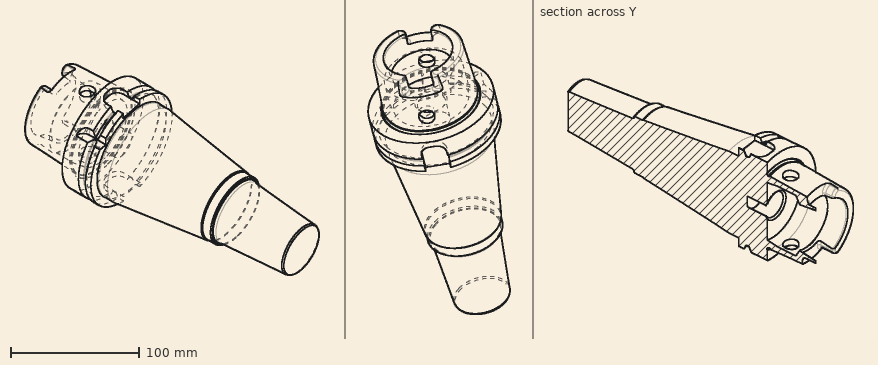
import cadquery as cq
import math


shank_end_x = -50.0
nose_end_x = 200.0

cut_clearance = 1.0

shank_end_radius = 35.7
shank_root_radius = 38.0
shank_edge_fillet = 1.9

relief_width = 2.5
relief_depth = 0.8
relief_floor_width = 0.9
relief_face_depth = 0.8
relief_face_radius = 39.7

flange_radius = 50.0
flange_width = 29.0
groove_center_x = 20.0
groove_width = 7.0
groove_floor_radius = 45.7
groove_flank_angle = 25.0
groove_floor_fillet = 0.8
groove_flank_run = (flange_radius - groove_floor_radius) * math.tan(math.radians(groove_flank_angle))

body_radius = 42.1
body_root_radius = 42.4
body_root_length = 1.0
body_cone_start_x = 39.0
body_cone_end_x = 124.2
body_cone_end_radius = 30.8
collar_radius = 30.1
collar_end_x = 134.0
collar_ramp_length = 1.0
collar_chamfer = 1.0
nose_root_radius = 28.0
nose_neck_end_x = 136.0
nose_neck_radius = 27.3
nose_end_radius = 22.5
nose_end_chamfer = 1.5
nose_end_chamfer_depth = 0.7

cavity_mouth_radius = 27.0
cavity_mouth_chamfer_length = 1.5
cavity_mouth_chamfer_depth = 0.6
cavity_taper_length = 18.0
cavity_throat_radius = 24.8
undercut_radius = 31.5
undercut_flank_angle = 30.0
undercut_end = 40.5
cavity_floor_radius = 30.0
cavity_depth = 50.0
undercut_flank_run = (undercut_radius - cavity_throat_radius) * math.tan(math.radians(undercut_flank_angle))
tube_bore_radius = 11.2
tube_bore_chamfer = 1.6
tube_bore_depth = 20.0

key_half_width = 10.0
key_edge_radius = 5.0
key_shoulder_z = 32.0
key_floor_fillet = 2.0
top_key_depth = 10.0
bottom_key_depth = 15.0

radial_hole_radius = 6.3
radial_hole_x = -15.2

slot_start_x = 5.0
slot_half_width = 10.0
slot_floor_z = 44.0
slot_corner_radius = 8.0
notch_corner = 31.6
notch_end_radius = 7.5


def make_outer_body():
    relief_floor_radius = shank_root_radius - relief_depth
    relief_floor_start = relief_depth - relief_width
    relief_floor_end = relief_floor_start + relief_floor_width
    groove_left = groove_center_x - groove_width / 2
    groove_right = groove_center_x + groove_width / 2
    profile = (
        cq.Workplane("XY")
        .moveTo(shank_end_x, 0)
        .lineTo(shank_end_x, shank_end_radius)
        .lineTo(-relief_width, shank_root_radius)
        .lineTo(relief_floor_start, relief_floor_radius)
        .lineTo(relief_floor_end, relief_floor_radius)
        .lineTo(relief_face_depth, relief_floor_radius + relief_face_depth - relief_floor_end)
        .lineTo(0, relief_face_radius)
        .lineTo(0, flange_radius)
        .lineTo(groove_left, flange_radius)
        .lineTo(groove_left + groove_flank_run, groove_floor_radius)
        .lineTo(groove_right - groove_flank_run, groove_floor_radius)
        .lineTo(groove_right, flange_radius)
        .lineTo(flange_width, flange_radius)
        .lineTo(flange_width, body_root_radius)
        .lineTo(flange_width + body_root_length, body_radius)
        .lineTo(body_cone_start_x, body_radius)
        .lineTo(body_cone_end_x, body_cone_end_radius)
        .lineTo(body_cone_end_x + collar_ramp_length, collar_radius)
        .lineTo(collar_end_x - collar_chamfer, collar_radius)
        .lineTo(collar_end_x, collar_radius - collar_chamfer)
        .lineTo(collar_end_x, nose_root_radius)
        .lineTo(nose_neck_end_x, nose_neck_radius)
        .lineTo(nose_end_x - nose_end_chamfer, nose_end_radius)
        .lineTo(nose_end_x, nose_end_radius - nose_end_chamfer_depth)
        .lineTo(nose_end_x, 0)
        .close()
    )
    body = profile.revolve(360, (0, 0, 0), (1, 0, 0))
    groove_floor_box = cq.selectors.BoxSelector(
        (groove_left + groove_flank_run / 2, -flange_radius, -flange_radius),
        (groove_right - groove_flank_run / 2, flange_radius, flange_radius),
    )
    return body.edges("%CIRCLE").edges(groove_floor_box).fillet(groove_floor_fillet)


def make_cavity():
    throat_x = shank_end_x + cavity_taper_length
    undercut_end_x = shank_end_x + undercut_end
    floor_x = shank_end_x + cavity_depth
    profile = (
        cq.Workplane("XY")
        .moveTo(shank_end_x, 0)
        .lineTo(shank_end_x, cavity_mouth_radius + cavity_mouth_chamfer_depth)
        .lineTo(shank_end_x + cavity_mouth_chamfer_length, cavity_mouth_radius)
        .lineTo(throat_x, cavity_throat_radius)
        .lineTo(throat_x + undercut_flank_run, undercut_radius)
        .lineTo(undercut_end_x, undercut_radius)
        .lineTo(floor_x, cavity_floor_radius)
        .lineTo(floor_x, tube_bore_radius + tube_bore_chamfer)
        .lineTo(floor_x + tube_bore_chamfer, tube_bore_radius)
        .lineTo(floor_x + tube_bore_depth, tube_bore_radius)
        .lineTo(floor_x + tube_bore_depth, 0)
        .close()
    )
    return profile.revolve(360, (0, 0, 0), (1, 0, 0))


def make_key_slot(depth, side):
    """Slot in the shank end, its walls curving out to flat shoulders. side is +1 (top) or -1 (bottom)."""
    flare_half_width = key_half_width + key_edge_radius
    outer_z = shank_root_radius + cut_clearance
    slot = (
        cq.Workplane("YZ", origin=(shank_end_x, 0, 0))
        .moveTo(-key_half_width, 0)
        .lineTo(key_half_width, 0)
        .lineTo(key_half_width, key_shoulder_z - key_edge_radius)
        .radiusArc((flare_half_width, key_shoulder_z), key_edge_radius)
        .lineTo(outer_z, key_shoulder_z)
        .lineTo(outer_z, outer_z)
        .lineTo(-outer_z, outer_z)
        .lineTo(-outer_z, key_shoulder_z)
        .lineTo(-flare_half_width, key_shoulder_z)
        .radiusArc((-key_half_width, key_shoulder_z - key_edge_radius), key_edge_radius)
        .close()
        .extrude(depth)
    )
    wall_box = cq.selectors.BoxSelector(
        (shank_end_x, -outer_z, cut_clearance), (0, outer_z, key_shoulder_z + cut_clearance)
    )
    slot = slot.faces(">X").edges(wall_box).fillet(key_floor_fillet)
    if side < 0:
        slot = slot.mirror("XY")
    return slot


def make_flange_slot(side):
    """Flat-bottomed slot open toward the nose. side is +1 (top) or -1 (bottom)."""
    length = flange_width - slot_start_x
    height = flange_radius - slot_floor_z + cut_clearance
    slot = (
        cq.Workplane("XY")
        .box(length, 2 * slot_half_width, height, centered=(False, True, False))
        .edges("|Z and <X")
        .fillet(slot_corner_radius)
        .translate((slot_start_x, 0, slot_floor_z))
    )
    if side < 0:
        slot = slot.mirror("XY")
    return slot


def make_orientation_notch():
    """Square-cornered notch on the -Y, +Z shoulder of the flange, with a rounded end."""
    reach = flange_radius - notch_corner
    return (
        cq.Workplane("XY")
        .box(flange_width - slot_start_x, reach, reach, centered=False)
        .edges("|Z and <X and >Y")
        .fillet(notch_end_radius)
        .translate((slot_start_x, -flange_radius, notch_corner))
    )


def make_radial_hole():
    return (
        cq.Workplane("XY", origin=(radial_hole_x, 0, 0))
        .circle(radial_hole_radius)
        .extrude(flange_radius, both=True)
    )


result = make_outer_body()
result = result.cut(make_key_slot(top_key_depth, 1))
result = result.cut(make_key_slot(bottom_key_depth, -1))
result = result.faces("<X").edges().fillet(shank_edge_fillet)
result = result.cut(make_cavity())
result = result.cut(make_radial_hole())
result = result.cut(make_flange_slot(1))
result = result.cut(make_flange_slot(-1))
result = result.cut(make_orientation_notch())